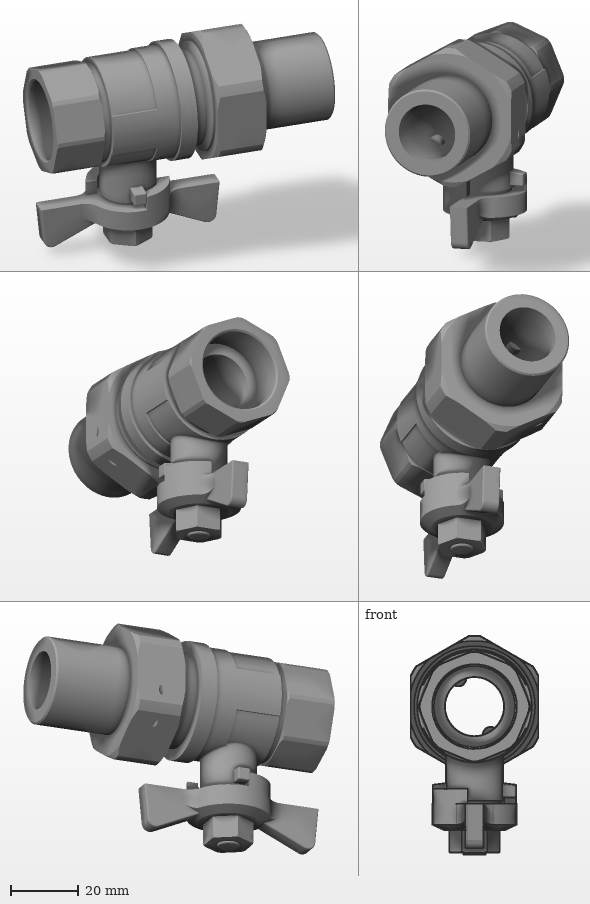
import cadquery as cq
import math


BORE_D = 17.5
BALL_D = 27.0
CAVITY_D = 28.38
SEAT_Y = 8.0

PORT_END_Y = -27.45
PORT_SHOULDER_Y = -12.35
BARREL_END_Y = -10.1
COLLAR_START_Y = 4.0
FLANGE_START_Y = 10.95
JOINT_Y = 14.15
FLANGE_D = 36.0
COLLAR_D = 34.0
BARREL_D = 33.0
NECK_D = 30.0
PAD_HEIGHT = 13.0
OCTAGON_FLATS = 31.0
OCTAGON_CORNER_D = 33.0
OCTAGON_BACK_CHAMFER = 0.5
OCTAGON_END_CHAMFER = 0.3
PORT_THREAD_D = 24.12
PORT_MOUTH_D = 25.2
PORT_THREAD_DEPTH = 13.2

TOWER_D = 17.0
TOWER_END_Z = -27.9
TOWER_ROOT_ROUND = 0.35
LUG_REACH = 12.4
LUG_WIDTH = 3.9
LUG_TOP_Z = -22.7
LUG_TOP_DROP = 0.5
LUG_BOTTOM_Z = -27.0
LUG_ROUND = 0.45
LUG_START_X = 6.5

UNION_FLANGE_END_Y = 15.95
UNION_NECK_D = 29.1
UNION_CONE_END_Y = 20.0
UNION_THREAD_Y = 21.1
UNION_THREAD_D = 33.25
NUT_START_Y = 21.8
NUT_END_Y = 37.15
NUT_FLATS = 38.0
NUT_CORNER_D = 42.08
NUT_FACE_D = 39.0
NUT_CHAMFER_ANGLE = 30.0
SEAL_Y = 30.0
NUT_LIP_Y = 33.5
SEAL_HOLE_D = 1.5
SEAL_HOLE_OFFSET = 19.0
SEAL_HOLE_DIRECTION = 210.0
TAIL_D = 26.44
TAIL_END_Y = 60.7
TAIL_CHAMFER = 0.5
KEY_LUG_D = 4.8
KEY_LUG_OFFSET = 9.7
KEY_LUG_DIRECTIONS = (120.0, 300.0)

STEM_D = 11.0
STEM_TOP_Z = -11.0
STEM_HUB_D = 8.5
STEM_TIP_D = 6.75
STEM_TIP_Z = -44.05
STEM_TIP_CHAMFER = 0.3
TANG_WIDTH = 5.0
TANG_LENGTH = 8.0
TANG_TOP_Z = -10.5

HANDLE_TOP_Z = -28.9
HUB_D = 25.0
HUB_EDGE_Z = -35.05
HUB_BOTTOM_Z = -36.67
HUB_BOTTOM_D = 18.0
BOSS_D = 16.0
STOP_WALL_TOP_Z = -24.45
STOP_WALL_INNER_D = 18.2
STOP_WALL_OFFSET = 2.0
WING_REACH = 28.0
WING_THICKNESS = 5.4
WING_TIP_LEAN = 1.4
WING_CORNER_Z = -43.3
WING_SLOPE = 24.3
WING_CORNER_ROUND = 2.5
WING_EDGE_ROUND = 0.45
WING_ROOT_ROUND = 4.8
WING_ROOT_Y = 8.0

HANDLE_NUT_FLATS = 13.1
HANDLE_NUT_BOTTOM_Z = -43.4
HANDLE_NUT_CHAMFER = 0.4


def cylinder_y(diameter, y_start, y_end):
    """Cylinder around the flow axis."""
    plane = cq.Workplane("XZ", origin=(0, y_start, 0))
    return plane.circle(diameter / 2).extrude(y_start - y_end)


def cylinder_z(diameter, z_low, z_high):
    """Cylinder around the stem axis."""
    return cq.Workplane("XY").workplane(offset=z_low).circle(diameter / 2).extrude(z_high - z_low)


def revolve_y(points):
    """Solid of revolution around the flow axis from (radius, y) points."""
    return cq.Workplane("XY").polyline(points).close().revolve(360, (0, 0, 0), (0, 1, 0))


def polygon_prism_y(sides, across_flats, y_start, y_end, turn):
    """Regular prism along the flow axis, turned about it by an angle in degrees."""
    corner_d = across_flats / math.cos(math.pi / sides)
    plane = cq.Workplane("XZ", origin=(0, y_start, 0))
    prism = plane.polygon(sides, corner_d).extrude(y_start - y_end)
    return prism.rotate((0, 0, 0), (0, 1, 0), turn)


def flow_bore(y_start, y_end):
    return cylinder_y(BORE_D, y_start, y_end)


def ball_sphere():
    return cq.Workplane("XY").sphere(BALL_D / 2)


def stem_tang():
    """Flat key that turns the ball; it fills the slot of the ball."""
    height = BALL_D / 2 + TANG_TOP_Z
    block = cq.Workplane("XY").box(TANG_WIDTH, TANG_LENGTH, height, centered=(True, True, False))
    return block.translate((0, 0, -BALL_D / 2))


def octagon_port():
    prism = polygon_prism_y(8, OCTAGON_FLATS, PORT_END_Y, PORT_SHOULDER_Y, 0)
    corner_r = OCTAGON_CORNER_D / 2
    limit = revolve_y([
        (0, PORT_END_Y),
        (corner_r - OCTAGON_END_CHAMFER, PORT_END_Y),
        (corner_r, PORT_END_Y + OCTAGON_END_CHAMFER),
        (corner_r, PORT_SHOULDER_Y - OCTAGON_BACK_CHAMFER),
        (corner_r - OCTAGON_BACK_CHAMFER, PORT_SHOULDER_Y),
        (0, PORT_SHOULDER_Y),
    ])
    return prism.intersect(limit)


def side_pads():
    """Raised strips on both sides of the barrel, at the collar diameter."""
    length = COLLAR_START_Y - BARREL_END_Y
    band = cq.Workplane("XY").box(COLLAR_D, length, PAD_HEIGHT)
    band = band.translate((0, BARREL_END_Y + length / 2, 0))
    return band.intersect(cylinder_y(COLLAR_D, BARREL_END_Y, COLLAR_START_Y))


def add_tower(body):
    """Join the stem tower to the barrel with a small fillet around its root."""
    tower = cylinder_z(TOWER_D, TOWER_END_Z, 0).rotate((0, 0, 0), (0, 0, 1), 45)
    joined = body.union(tower)
    reach = TOWER_D / 2 + TOWER_ROOT_ROUND
    root_top_z = -math.sqrt((BARREL_D / 2) ** 2 - (TOWER_D / 2) ** 2) + TOWER_ROOT_ROUND
    root_zone = cq.selectors.BoxSelector(
        (-reach, -reach, -FLANGE_D / 2),
        (reach, reach, root_top_z),
    )
    return joined.edges(root_zone).fillet(TOWER_ROOT_ROUND)


def stop_lug(side):
    """Rounded lug on the tower; side is +1 or -1 along X."""
    root = TOWER_D / 2
    profile = [
        (LUG_START_X, LUG_BOTTOM_Z),
        (LUG_REACH, LUG_BOTTOM_Z),
        (LUG_REACH, LUG_TOP_Z - LUG_TOP_DROP),
        (root, LUG_TOP_Z),
        (LUG_START_X, LUG_TOP_Z),
    ]
    lug = cq.Workplane("XZ").polyline(profile).close().extrude(LUG_WIDTH / 2, both=True)
    lug = lug.edges("(not |Y) or >X").edges("not <X").fillet(LUG_ROUND)
    if side < 0:
        lug = lug.rotate((0, 0, 0), (0, 0, 1), 180)
    return lug


def make_valve_body():
    body = cylinder_y(BARREL_D, BARREL_END_Y, COLLAR_START_Y)
    body = body.union(cylinder_y(NECK_D, PORT_SHOULDER_Y, BARREL_END_Y))
    body = body.union(octagon_port())
    body = body.union(cylinder_y(COLLAR_D, COLLAR_START_Y, FLANGE_START_Y))
    body = body.union(cylinder_y(FLANGE_D, FLANGE_START_Y, JOINT_Y))
    body = body.union(side_pads())
    body = add_tower(body)
    for side in (1, -1):
        body = body.union(stop_lug(side))

    mouth_depth = (PORT_MOUTH_D - PORT_THREAD_D) / 2
    port_bottom_y = PORT_END_Y + PORT_THREAD_DEPTH
    port_cut = revolve_y([
        (0, PORT_END_Y),
        (PORT_MOUTH_D / 2, PORT_END_Y),
        (PORT_THREAD_D / 2, PORT_END_Y + mouth_depth),
        (PORT_THREAD_D / 2, port_bottom_y),
        (0, port_bottom_y),
    ])
    body = body.cut(port_cut)
    body = body.cut(flow_bore(port_bottom_y, 0))
    body = body.cut(cylinder_y(CAVITY_D, -SEAT_Y, JOINT_Y))
    body = body.cut(ball_sphere())
    return body.cut(cylinder_z(STEM_D, TOWER_END_Z, 0))


def make_union_end():
    """Threaded half of the union; its spigot closes the cavity and seats the ball."""
    end = revolve_y([
        (0, SEAT_Y),
        (CAVITY_D / 2, SEAT_Y),
        (CAVITY_D / 2, JOINT_Y),
        (FLANGE_D / 2, JOINT_Y),
        (FLANGE_D / 2, UNION_FLANGE_END_Y),
        (UNION_NECK_D / 2, UNION_FLANGE_END_Y),
        (UNION_NECK_D / 2, UNION_CONE_END_Y),
        (UNION_THREAD_D / 2, UNION_THREAD_Y),
        (UNION_THREAD_D / 2, SEAL_Y),
        (0, SEAL_Y),
    ])
    return end.cut(flow_bore(SEAT_Y, SEAL_Y)).cut(ball_sphere())


def seal_hole():
    """Hole for a lead seal, drilled across one corner at mid-length."""
    mid_y = (NUT_START_Y + NUT_END_Y) / 2
    hole = cq.Workplane("XY").circle(SEAL_HOLE_D / 2).extrude(NUT_FLATS / 2, both=True)
    hole = hole.translate((SEAL_HOLE_OFFSET, mid_y, 0))
    return hole.rotate((0, 0, 0), (0, 1, 0), -SEAL_HOLE_DIRECTION)


def make_union_nut():
    prism = polygon_prism_y(6, NUT_FLATS, NUT_START_Y, NUT_END_Y, 30)
    corner_r = NUT_CORNER_D / 2
    face_r = NUT_FACE_D / 2
    chamfer = (corner_r - face_r) * math.tan(math.radians(NUT_CHAMFER_ANGLE))
    limit = revolve_y([
        (0, NUT_START_Y),
        (face_r, NUT_START_Y),
        (corner_r, NUT_START_Y + chamfer),
        (corner_r, NUT_END_Y - chamfer),
        (face_r, NUT_END_Y),
        (0, NUT_END_Y),
    ])
    nut = prism.intersect(limit)
    nut = nut.cut(cylinder_y(UNION_THREAD_D, NUT_START_Y, NUT_LIP_Y))
    nut = nut.cut(cylinder_y(TAIL_D, NUT_LIP_Y, NUT_END_Y))
    return nut.cut(seal_hole())


def make_tailpiece():
    """Pipe end held by the nut lip, with two key lugs inside its bore."""
    tail_r = TAIL_D / 2
    tail = revolve_y([
        (0, SEAL_Y),
        (UNION_THREAD_D / 2, SEAL_Y),
        (UNION_THREAD_D / 2, NUT_LIP_Y),
        (tail_r, NUT_LIP_Y),
        (tail_r, TAIL_END_Y - TAIL_CHAMFER),
        (tail_r - TAIL_CHAMFER, TAIL_END_Y),
        (0, TAIL_END_Y),
    ])
    tail = tail.cut(flow_bore(SEAL_Y, TAIL_END_Y))
    for direction in KEY_LUG_DIRECTIONS:
        lug = cylinder_y(KEY_LUG_D, NUT_LIP_Y, NUT_END_Y).translate((KEY_LUG_OFFSET, 0, 0))
        tail = tail.union(lug.rotate((0, 0, 0), (0, 1, 0), -direction))
    return tail


def make_ball():
    return ball_sphere().cut(flow_bore(-BALL_D / 2, BALL_D / 2)).cut(stem_tang())


def make_stem():
    stem = cylinder_z(STEM_D, TOWER_END_Z, STEM_TOP_Z).cut(ball_sphere())
    stem = stem.union(stem_tang())
    stem = stem.union(cylinder_z(STEM_HUB_D, HUB_BOTTOM_Z, TOWER_END_Z))
    tip = cylinder_z(STEM_TIP_D, STEM_TIP_Z, HUB_BOTTOM_Z)
    return stem.union(tip.faces("<Z").chamfer(STEM_TIP_CHAMFER))


def wing_root(side):
    """Web between hub and wing with concave arcs tangent to both; side is +1 or -1 along Y."""
    hub_r = HUB_D / 2
    half = WING_THICKNESS / 2
    arc_x = half + WING_ROOT_ROUND
    arc_y = math.sqrt((hub_r + WING_ROOT_ROUND) ** 2 - arc_x ** 2)
    share = hub_r / (hub_r + WING_ROOT_ROUND)
    touch_x = arc_x * share
    touch_y = arc_y * share
    mid_angle = (math.pi + math.atan2(touch_y - arc_y, touch_x - arc_x) % (2 * math.pi)) / 2
    mid_x = arc_x + WING_ROOT_ROUND * math.cos(mid_angle)
    mid_y = arc_y + WING_ROOT_ROUND * math.sin(mid_angle)
    web = (
        cq.Workplane("XY")
        .workplane(offset=HUB_BOTTOM_Z)
        .moveTo(-touch_x, 0)
        .lineTo(-touch_x, touch_y)
        .threePointArc((-mid_x, mid_y), (-half, arc_y))
        .lineTo(half, arc_y)
        .threePointArc((mid_x, mid_y), (touch_x, touch_y))
        .lineTo(touch_x, 0)
        .close()
        .extrude(HANDLE_TOP_Z - HUB_BOTTOM_Z)
    )
    if side < 0:
        web = web.rotate((0, 0, 0), (0, 0, 1), 180)
    return web


def bottom_cone():
    """Cone that trims the underside of the hub and of the wing roots."""
    slope = (HUB_EDGE_Z - HUB_BOTTOM_Z) / (HUB_D / 2 - HUB_BOTTOM_D / 2)
    top_r = HUB_BOTTOM_D / 2 + (HANDLE_TOP_Z - HUB_BOTTOM_Z) / slope
    profile = [
        (0, HUB_BOTTOM_Z),
        (HUB_BOTTOM_D / 2, HUB_BOTTOM_Z),
        (top_r, HANDLE_TOP_Z),
        (0, HANDLE_TOP_Z),
    ]
    return cq.Workplane("XZ").polyline(profile).close().revolve(360, (0, 0, 0), (0, 1, 0))


def wing(side):
    """Finger wing that slopes down toward its tip; side is +1 or -1 along Y."""
    corner_y = WING_REACH - WING_TIP_LEAN
    rise = (corner_y - WING_ROOT_Y) * math.tan(math.radians(WING_SLOPE))
    profile = [
        (WING_ROOT_Y, HANDLE_TOP_Z),
        (WING_REACH, HANDLE_TOP_Z),
        (corner_y, WING_CORNER_Z),
        (WING_ROOT_Y, WING_CORNER_Z + rise),
    ]
    blade = cq.Workplane("YZ").polyline(profile).close().extrude(WING_THICKNESS / 2, both=True)
    blade = blade.edges("|X").edges("<Z").fillet(WING_CORNER_ROUND)
    blade = blade.faces("<X or >X").edges("not(>Z or <Y)").fillet(WING_EDGE_ROUND)
    if side < 0:
        blade = blade.rotate((0, 0, 0), (0, 0, 1), 180)
    return blade


def stop_walls():
    """Two opposite quadrants of a ring that meet the tower lugs."""
    ring = cylinder_z(HUB_D, HANDLE_TOP_Z, STOP_WALL_TOP_Z)
    ring = ring.cut(cylinder_z(STOP_WALL_INNER_D, HANDLE_TOP_Z, STOP_WALL_TOP_Z))
    height = STOP_WALL_TOP_Z - HANDLE_TOP_Z
    block = cq.Workplane("XY").box(HUB_D, HUB_D, height, centered=False)
    block = block.translate((STOP_WALL_OFFSET, STOP_WALL_OFFSET, HANDLE_TOP_Z))
    block = block.union(block.rotate((0, 0, 0), (0, 0, 1), 180))
    return ring.intersect(block)


def make_handle():
    handle = cylinder_z(HUB_D, HUB_BOTTOM_Z, HANDLE_TOP_Z)
    for side in (1, -1):
        handle = handle.union(wing_root(side))
    handle = handle.intersect(bottom_cone())
    for side in (1, -1):
        handle = handle.union(wing(side))
    handle = handle.union(stop_walls())
    handle = handle.union(cylinder_z(BOSS_D, HANDLE_TOP_Z, TOWER_END_Z))
    return handle.cut(cylinder_z(STEM_HUB_D, HUB_BOTTOM_Z, TOWER_END_Z))


def make_handle_nut():
    corner_d = HANDLE_NUT_FLATS / math.cos(math.pi / 6)
    height = HUB_BOTTOM_Z - HANDLE_NUT_BOTTOM_Z
    prism = cq.Workplane("XY").workplane(offset=HANDLE_NUT_BOTTOM_Z)
    prism = prism.polygon(6, corner_d).extrude(height)
    limit = cylinder_z(corner_d, HANDLE_NUT_BOTTOM_Z, HUB_BOTTOM_Z)
    limit = limit.faces("<Z").chamfer(HANDLE_NUT_CHAMFER)
    nut = prism.intersect(limit)
    return nut.cut(cylinder_z(STEM_TIP_D, HANDLE_NUT_BOTTOM_Z, HUB_BOTTOM_Z))


valve_body = make_valve_body()
union_end = make_union_end()
union_nut = make_union_nut()
tailpiece = make_tailpiece()
ball = make_ball()
stem = make_stem()
handle = make_handle()
handle_nut = make_handle_nut()

result = cq.Compound.makeCompound([
    valve_body.val(),
    union_end.val(),
    union_nut.val(),
    tailpiece.val(),
    ball.val(),
    stem.val(),
    handle.val(),
    handle_nut.val(),
])